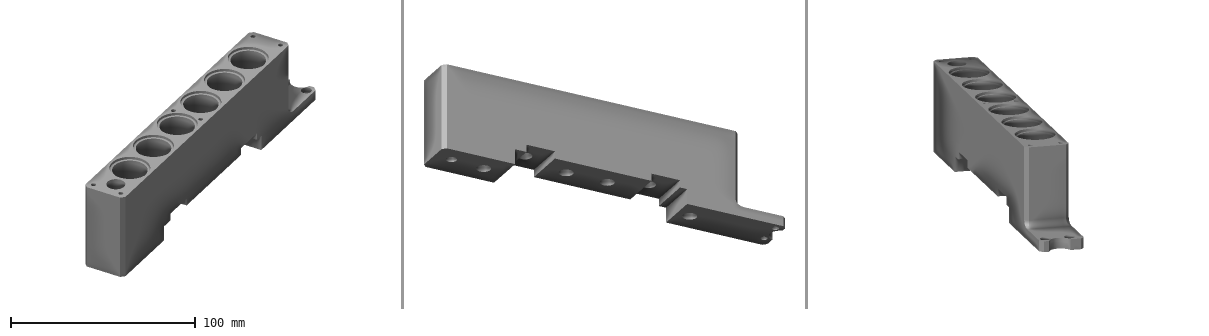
import cadquery as cq

length = 209.0
width = 25.0
height = 51.0

block_length = 180.0
foot_thickness = 6.0
inner_fillet = 3.8
corner_chamfer = 2.0

recess_front = 43.7
recess_back = 148.4
recess_height = 9.0
groove_height = 13.4
groove_width = 17.3
front_groove_start = 50.5
back_groove_start = 126.7

socket_count = 6
last_socket_y = 156.0
socket_pitch = 25.5
rim_diameter = 22.2
rim_depth = 1.5
socket_diameter = 19.2
socket_floor = 18.8
outlet_diameter = 8.2
last_outlet_y = 156.3
outlet_pitch = 25.0

mount_x = 1.7
mount_y = 10.5
mount_diameter = 6.0
mount_head_diameter = 10.2
mount_head_floor = socket_floor

pilot_diameter = 2.7
pilot_depth = 8.4
pilot_x = 8.5
first_pilot_y = 4.0
last_pilot_y = 176.0
pilot_rows = 3
pilot_pitch = (last_pilot_y - first_pilot_y) / (pilot_rows - 1)

foot_hole_xs = (-5.2, 8.4)
foot_hole_y = 204.2
foot_hole_diameter = 4.0
foot_head_diameter = 5.9
foot_head_depth = 3.1
notch_x = 1.5
notch_radius = 6.3
notch_depth = 4.5


def box_between(y_start, y_end, z_top):
    """Full-width box standing on the underside."""
    return (
        cq.Workplane("XY")
        .box(width, y_end - y_start, z_top, centered=(True, False, False))
        .translate((0, y_start, 0))
    )


def cylinder(x, y, diameter, z_bottom, z_top):
    """Upright cylinder between two heights."""
    return (
        cq.Workplane("XY")
        .workplane(offset=z_bottom)
        .center(x, y)
        .circle(diameter / 2)
        .extrude(z_top - z_bottom)
    )


def make_step():
    """Oversized wall and foot, with the fillet between them running straight along X."""
    reach = 2 * length
    return (
        cq.Workplane("YZ")
        .moveTo(-reach, 0)
        .lineTo(reach, 0)
        .lineTo(reach, foot_thickness)
        .lineTo(block_length + inner_fillet, foot_thickness)
        .radiusArc((block_length, foot_thickness + inner_fillet), inner_fillet)
        .lineTo(block_length, height)
        .lineTo(-reach, height)
        .close()
        .extrude(reach, both=True)
    )


def make_body():
    """Chamfered block and foot, joined by a fillet that also follows the block's back chamfers."""
    body = box_between(0, length, height).edges("|Z").chamfer(corner_chamfer)
    body = body.intersect(make_step())
    corner_x = width / 2 - corner_chamfer
    for side in (-1, 1):
        x = side * corner_x
        chamfer_step = make_step().rotate((x, block_length, 0), (x, block_length, 1), -45 * side)
        body = body.intersect(chamfer_step)
    return body


def cut_rail_recess(body):
    body = body.cut(box_between(recess_front, recess_back, recess_height))
    for start in (front_groove_start, back_groove_start):
        body = body.cut(box_between(start, start + groove_width, groove_height))
    return body


def cut_sockets(body):
    for i in range(socket_count):
        socket_y = last_socket_y - i * socket_pitch
        outlet_y = last_outlet_y - i * outlet_pitch
        body = body.cut(cylinder(0, socket_y, rim_diameter, height - rim_depth, height))
        body = body.cut(cylinder(0, socket_y, socket_diameter, socket_floor, height))
        body = body.cut(cylinder(0, outlet_y, outlet_diameter, 0, height))
    return body


def cut_mount_hole(body):
    body = body.cut(cylinder(mount_x, mount_y, mount_diameter, 0, height))
    return body.cut(cylinder(mount_x, mount_y, mount_head_diameter, mount_head_floor, height))


def cut_pilot_holes(body):
    for row in range(pilot_rows):
        y = first_pilot_y + row * pilot_pitch
        for x in (-pilot_x, pilot_x):
            body = body.cut(cylinder(x, y, pilot_diameter, height - pilot_depth, height))
    return body


def cut_foot_end(body):
    for x in foot_hole_xs:
        head_floor = foot_thickness - foot_head_depth
        body = body.cut(cylinder(x, foot_hole_y, foot_hole_diameter, 0, foot_thickness))
        body = body.cut(cylinder(x, foot_hole_y, foot_head_diameter, head_floor, foot_thickness))
    notch_y = length - notch_depth + notch_radius
    return body.cut(cylinder(notch_x, notch_y, 2 * notch_radius, 0, foot_thickness))


result = make_body()
result = cut_rail_recess(result)
result = cut_sockets(result)
result = cut_mount_hole(result)
result = cut_pilot_holes(result)
result = cut_foot_end(result)